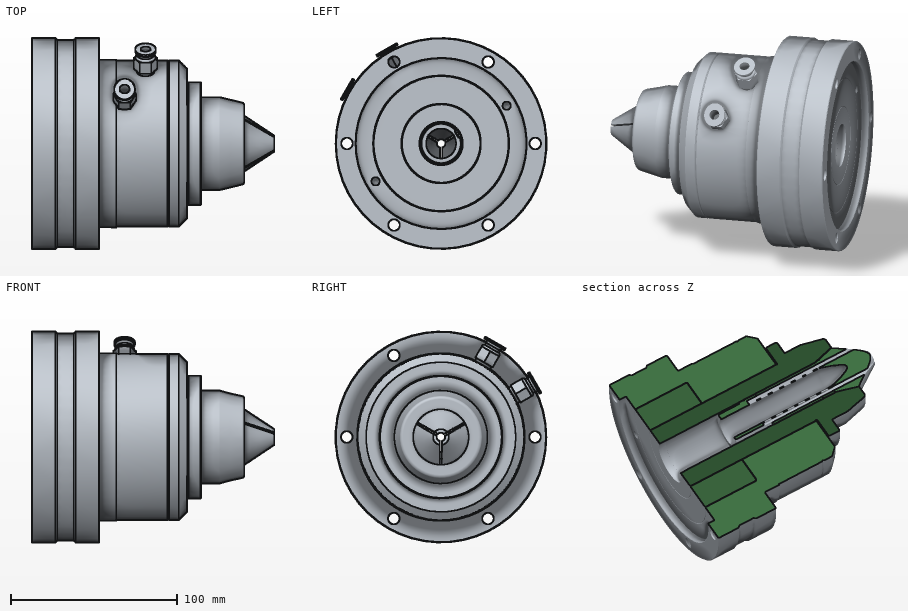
import cadquery as cq
import math


rear_face_x = 4.5
groove_start_x = 14.3
groove_end_x = 26.6
flange_end_x = 40.8
shoulder_end_x = 50.9
ring_groove_start_x = 81.5
housing_end_x = 93.5
disc_start_x = 94.0
disc_end_x = 102.0
nose_taper_x = 113.0
nose_end_x = 128.0
tip_x = 146.0

flange_d = 127.0
flange_groove_d = 124.8
flange_edge = 0.4
shoulder_d = 101.0
barrel_d = 100.0
ring_groove_d = 99.0
ring_groove_width = 1.2
ring_groove_floor = 0.2
barrel_chamfer = 5.0
recess_d = 102.5
recess_edge = 0.3
mount_hole_d = 6.8
mount_circle_d = 113.2
mount_hole_count = 6
spanner_hole_d = 5.0
spanner_hole_depth = 10.0
spanner_circle_d = 91.0
spanner_angle = 30.0
drill_point_angle = 118.0

sleeve_d = 81.0
spindle_d = 47.0
entry_edge = 0.5
disc_d = 74.0
disc_edge = 0.5
nose_d = 56.0
nose_small_d = 48.7
nose_fillet = 2.0
bore_entry_d = 26.2
bore_entry_depth = 5.0

shank_d = 26.0
collet_rear_x = 45.0
collet_rear_d = 23.6
collet_rear_chamfer = 0.6
collet_tail_end_x = 60.0
collet_taper_x = 114.0
collet_mouth_d = 33.4
tip_d = 9.5
collet_bore_d = 18.0
bore_cone_x = 114.0
tip_bore_d = 5.0
tip_bore_length = 6.0
slot_width = 1.2
slot_start_x = 65.0
slot_angles = (30.0, 150.0, 270.0)
keyway_width = 4.5
keyway_floor_r = 10.8
keyway_end_x = 70.0
keyway_angle = 30.0

fitting_places = ((55.9, 30.0), (68.5, 60.0))
stem_d = 10.5
stem_bottom_r = 46.0
hex_bottom_r = 51.8
hex_top_r = 59.5
hex_flats = 12.0
collar_top_r = 61.2
collar_fillet = 1.2
neck_d = 9.5
neck_top_r = 62.7
cap_bottom_r = 64.4
cap_top_r = 65.6
cap_root_d = 11.2
cap_width = 12.6
cap_length = 14.2
tube_hole_d = 6.0
tube_hole_depth = 12.0


def turned(points):
    """Solid of revolution about the X axis from (x, radius) points."""
    return cq.Workplane("XY").polyline(points).close().revolve(360, (0, 0, 0), (1, 0, 0))


def rod(diameter, start_x, end_x):
    """Cylinder on the X axis."""
    return cq.Workplane("YZ", origin=(start_x, 0, 0)).circle(diameter / 2).extrude(end_x - start_x)


def turn_about_axis(body, angle):
    """Rotate a body about the X axis; positive angles turn +Z toward -Y."""
    return body.rotate((0, 0, 0), (1, 0, 0), angle)


def make_collet_outline():
    """Outside of the collet: reduced tail, shank, closing taper inside the nose and pointed tip."""
    tail_d = collet_rear_d + 2 * collet_rear_chamfer
    return turned([
        (collet_rear_x, 0),
        (collet_rear_x, collet_rear_d / 2),
        (collet_rear_x + collet_rear_chamfer, tail_d / 2),
        (collet_tail_end_x, tail_d / 2),
        (collet_tail_end_x, shank_d / 2),
        (collet_taper_x, shank_d / 2),
        (nose_end_x, collet_mouth_d / 2),
        (tip_x, tip_d / 2),
        (tip_x, 0),
    ])


def place_fitting(fitting, station_x, angle):
    """Move a fitting built along +Z to its station and lean it toward +Y."""
    return turn_about_axis(fitting.translate((station_x, 0, 0)), -angle)


def make_stem():
    """Round stem below the hexagon, also the shape of its socket in the housing."""
    return (
        cq.Workplane("XY", origin=(0, 0, stem_bottom_r))
        .circle(stem_d / 2)
        .extrude(hex_bottom_r - stem_bottom_r)
    )


def make_fitting():
    """Push-in air fitting along +Z."""
    hexagon = (
        cq.Workplane("XY", origin=(0, 0, hex_bottom_r))
        .polygon(6, hex_flats, circumscribed=True)
        .extrude(hex_top_r - hex_bottom_r)
        .rotate((0, 0, 0), (0, 0, 1), 30)
    )
    collar = (
        cq.Workplane("XY", origin=(0, 0, hex_top_r))
        .circle(hex_flats / 2)
        .extrude(collar_top_r - hex_top_r)
        .faces(">Z").edges().fillet(collar_fillet)
    )
    neck = (
        cq.Workplane("XZ")
        .polyline([
            (0, collar_top_r),
            (neck_d / 2, collar_top_r),
            (neck_d / 2, neck_top_r),
            (cap_root_d / 2, cap_bottom_r),
            (0, cap_bottom_r),
        ])
        .close()
        .revolve(360, (0, 0, 0), (0, 1, 0))
    )
    release_cap = (
        cq.Workplane("XY", origin=(0, 0, cap_bottom_r))
        .ellipse(cap_width / 2, cap_length / 2)
        .extrude(cap_top_r - cap_bottom_r)
    )
    tube_hole = (
        cq.Workplane("XY", origin=(0, 0, cap_top_r))
        .circle(tube_hole_d / 2)
        .extrude(-tube_hole_depth)
    )
    fitting = make_stem()
    for section in (hexagon, collar, neck, release_cap):
        fitting = fitting.union(section)
    return fitting.cut(tube_hole)


def make_housing():
    """Flanged housing with rear recess, sleeve seat and spindle bore."""
    groove_slope = (flange_d - flange_groove_d) / 2
    ring_groove_end_x = ring_groove_start_x + ring_groove_width
    ring_groove_slope = (ring_groove_width - ring_groove_floor) / 2
    housing = turned([
        (0, recess_d / 2 + recess_edge),
        (0, flange_d / 2 - flange_edge),
        (flange_edge, flange_d / 2),
        (groove_start_x, flange_d / 2),
        (groove_start_x + groove_slope, flange_groove_d / 2),
        (groove_end_x - groove_slope, flange_groove_d / 2),
        (groove_end_x, flange_d / 2),
        (flange_end_x - flange_edge, flange_d / 2),
        (flange_end_x, flange_d / 2 - flange_edge),
        (flange_end_x, shoulder_d / 2),
        (shoulder_end_x, shoulder_d / 2),
        (shoulder_end_x, barrel_d / 2),
        (ring_groove_start_x, barrel_d / 2),
        (ring_groove_start_x + ring_groove_slope, ring_groove_d / 2),
        (ring_groove_end_x - ring_groove_slope, ring_groove_d / 2),
        (ring_groove_end_x, barrel_d / 2),
        (housing_end_x - barrel_chamfer, barrel_d / 2),
        (housing_end_x, barrel_d / 2 - barrel_chamfer),
        (housing_end_x, spindle_d / 2),
        (flange_end_x, spindle_d / 2),
        (flange_end_x, sleeve_d / 2),
        (rear_face_x + entry_edge, sleeve_d / 2),
        (rear_face_x, sleeve_d / 2 + entry_edge),
        (rear_face_x, recess_d / 2),
        (recess_edge, recess_d / 2),
    ])

    mount_holes = (
        cq.Workplane("YZ")
        .polarArray(mount_circle_d / 2, 0, 360, mount_hole_count)
        .circle(mount_hole_d / 2)
        .extrude(flange_end_x)
    )
    housing = housing.cut(mount_holes)

    point_length = spanner_hole_d / 2 / math.tan(math.radians(drill_point_angle / 2))
    hole_bottom_x = rear_face_x + spanner_hole_depth
    spanner_hole = turned([
        (rear_face_x, 0),
        (rear_face_x, spanner_hole_d / 2),
        (hole_bottom_x, spanner_hole_d / 2),
        (hole_bottom_x + point_length, 0),
    ]).translate((0, spanner_circle_d / 2, 0))
    for angle in (-spanner_angle, 180 - spanner_angle):
        housing = housing.cut(turn_about_axis(spanner_hole, angle))

    for station_x, angle in fitting_places:
        housing = housing.cut(place_fitting(make_stem(), station_x, angle))
    return housing


def make_sleeve():
    """Sleeve between the housing and the rear of the spindle."""
    return turned([
        (rear_face_x, spindle_d / 2 + entry_edge),
        (rear_face_x, sleeve_d / 2),
        (flange_end_x, sleeve_d / 2),
        (flange_end_x, spindle_d / 2),
        (rear_face_x + entry_edge, spindle_d / 2),
    ])


def make_spindle():
    """Spindle with front disc and tapered nose, bored to hold the collet."""
    spindle = turned([
        (rear_face_x, 0),
        (rear_face_x, spindle_d / 2),
        (disc_start_x, spindle_d / 2),
        (disc_start_x, disc_d / 2 - disc_edge),
        (disc_start_x + disc_edge, disc_d / 2),
        (disc_end_x - disc_edge, disc_d / 2),
        (disc_end_x, disc_d / 2 - disc_edge),
        (disc_end_x, nose_d / 2),
        (nose_taper_x, nose_d / 2),
        (nose_end_x, nose_small_d / 2),
        (nose_end_x, 0),
    ])
    spindle = spindle.faces(">X").edges().fillet(nose_fillet)
    spindle = spindle.cut(rod(bore_entry_d, rear_face_x, rear_face_x + bore_entry_depth))
    spindle = spindle.cut(rod(shank_d, rear_face_x, collet_taper_x))
    collet_seat = turned([
        (collet_taper_x, 0),
        (collet_taper_x, shank_d / 2),
        (nose_end_x, collet_mouth_d / 2),
        (nose_end_x, 0),
    ])
    return spindle.cut(collet_seat)


def make_collet():
    """Collet with conical bore, three slots and a keyway in the shank."""
    bore = turned([
        (collet_rear_x, 0),
        (collet_rear_x, collet_bore_d / 2),
        (bore_cone_x, collet_bore_d / 2),
        (tip_x - tip_bore_length, tip_bore_d / 2),
        (tip_x, tip_bore_d / 2),
        (tip_x, 0),
    ])
    collet = make_collet_outline().cut(bore)

    slot = cq.Workplane("XY").box(
        tip_x - slot_start_x, collet_mouth_d, slot_width, centered=(False, False, True)
    ).translate((slot_start_x, -collet_mouth_d, 0))
    for angle in slot_angles:
        collet = collet.cut(turn_about_axis(slot, -angle))

    straight_length = keyway_end_x - keyway_width / 2 - collet_rear_x
    keyway = (
        cq.Workplane("XZ", origin=(collet_rear_x, -keyway_floor_r, 0))
        .slot2D(2 * straight_length + keyway_width, keyway_width)
        .extrude(shank_d / 2)
    )
    return collet.cut(turn_about_axis(keyway, -keyway_angle))


housing = make_housing()
sleeve = make_sleeve()
spindle = make_spindle()
collet = make_collet()
fittings = [place_fitting(make_fitting(), station_x, angle) for station_x, angle in fitting_places]

result = cq.Compound.makeCompound([
    housing.val(),
    sleeve.val(),
    spindle.val(),
    collet.val(),
    *[fitting.val() for fitting in fittings],
])